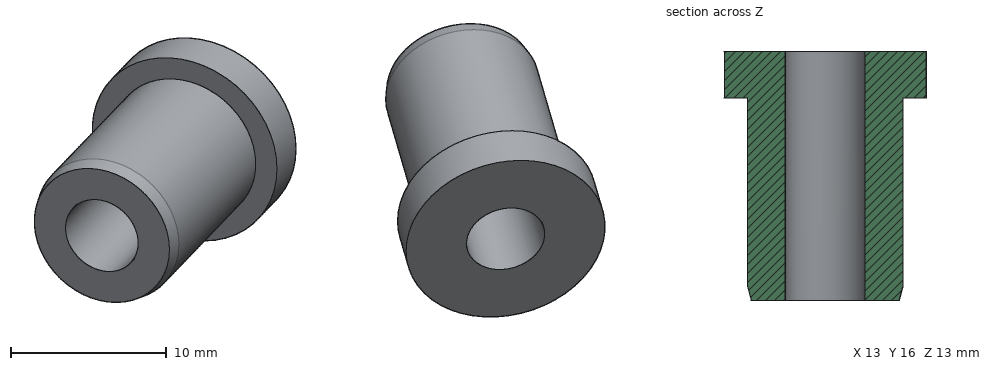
import cadquery as cq
import math

total_length = 16.0
flange_diameter = 13.0
flange_thickness = 3.0
body_diameter = 10.0
bore_diameter = 5.1

taper_length = 0.93
taper_angle = 15.0
taper_depth = taper_length * math.tan(math.radians(taper_angle))

bore_radius = bore_diameter / 2
body_radius = body_diameter / 2
flange_radius = flange_diameter / 2
tip_radius = body_radius - taper_depth
flange_start = total_length - flange_thickness

half_section = (
    cq.Workplane("XY")
    .moveTo(bore_radius, 0)
    .lineTo(tip_radius, 0)
    .lineTo(body_radius, taper_length)
    .lineTo(body_radius, flange_start)
    .lineTo(flange_radius, flange_start)
    .lineTo(flange_radius, total_length)
    .lineTo(bore_radius, total_length)
    .close()
)

result = half_section.revolve(360, (0, 0, 0), (0, 1, 0))